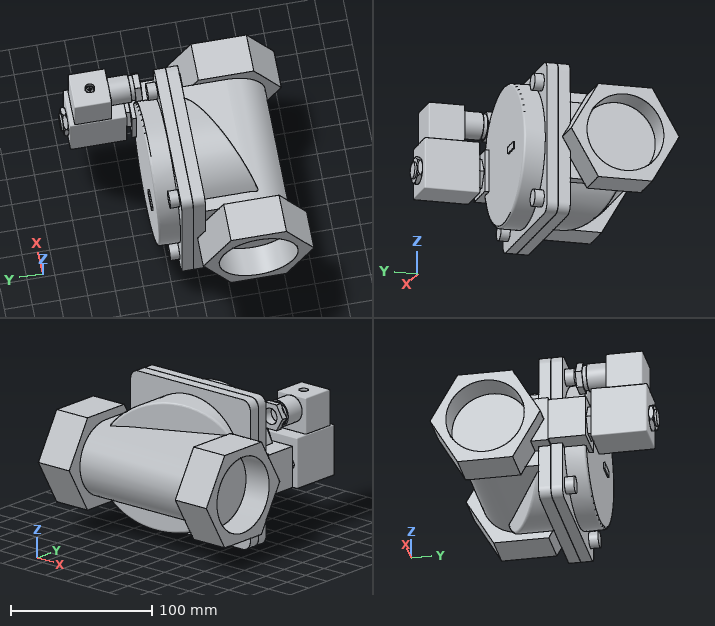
import cadquery as cq
import math

OVERALL_LENGTH = 157.0
OVERALL_TOP = 119.39

PIPE_RADIUS = 28.2
BORE_DIAMETER = 56.7
BORE_DEPTH = 21.7
HEX_LENGTH = 29.0
HEX_ACROSS_CORNERS = 79.8
FLANGE_SIZE = 112.0
FLANGE_CORNER_RADIUS = 7.0
FLANGE_BOTTOM = 34.1
BODY_TOP = 42.8
BOWL_RADIUS = 49.0
BOWL_SLOPE_MIDDLE = 11.3
BOWL_SLOPE_ANGLE = 25.2
BOWL_EDGE_RADIUS = 1.9
PORT_BOTTOM = 25.5
PORT_END_MARGIN = 0.6
PORT_SIDE_MARGIN = 1.3

COVER_BOTTOM = 43.0
COVER_FLANGE_TOP = 51.3
DOME_RADIUS = 51.8
DOME_TOP = 66.9
DOME_EDGE_RADIUS = 1.8
BOLT_DIAMETER = 12.3
BOLT_OFFSET = 43.0
BOLT_TOP = 58.1
BLOCK_LEFT = 37.1
BLOCK_RIGHT = 64.7
BLOCK_HALF_WIDTH = 15.5
BLOCK_TOP = 70.0
MARK_LENGTH = 14.5
MARK_WIDTH = 4.8
MARK_TOP = 67.9
MARK_CENTRE_X = -20.5

COIL_AXIS_X = 51.05
COIL_BOTTOM = 73.8
COIL_TOP = 114.5
COIL_WIDTH = 29.5
COIL_LOW_Z = -17.4
COIL_HIGH_Z = 20.7
HOUSING_EDGE_RADIUS = 1.0
STEM_ACROSS_FLATS = 21.2
COIL_NUT_ACROSS_FLATS = 18.0
COIL_NUT_TOP = 117.9
COIL_NUT_CORNER_CHAMFER = 1.1
STUD_DIAMETER = 12.3
PLUG_BOTTOM = 84.5
PLUG_TOP = 111.2
PLUG_WIDTH = 27.2
PLUG_HIGH_Z = 47.6
SCREW_HOLE_DIAMETER = 6.8
SCREW_HOLE_DEPTH = 3.2
SCREW_HEAD_DIAMETER = 5.5
SCREW_HEAD_HEIGHT = 1.9
SCREW_SLOT_LENGTH = 3.0
SCREW_SLOT_WIDTH = 0.6
SCREW_SLOT_DEPTH = 1.0
GLAND_AXIS_Z = 37.0
GLAND_DIAMETER = 20.0
GLAND_NECK_DIAMETER = 18.0
GLAND_SHOULDER = 69.5
GLAND_NUT_TOP = 66.5
GLAND_NUT_BOTTOM = 61.8
GLAND_NUT_ACROSS_CORNERS = 22.3
CABLE_HOLE_DIAMETER = 12.0

HEX_FLAT_RATIO = math.cos(math.radians(30))


def box(x_range, y_range, z_range):
    """Box between the given limits on each axis."""
    sizes = [high - low for low, high in (x_range, y_range, z_range)]
    corner = (x_range[0], y_range[0], z_range[0])
    return cq.Workplane("XY").box(*sizes, centered=False).translate(corner)


def plane_at(x, y, z):
    """Workplane across Y whose local axes are X and Z."""
    return cq.Workplane("XZ", origin=(x, y, z))


def cylinder_y(diameter, bottom, top, x=0, z=0):
    """Round bar along Y from bottom to top."""
    return plane_at(x, bottom, z).circle(diameter / 2).extrude(bottom - top)


def hexagon_y(across_corners, bottom, top, x=0, z=0, turn=0):
    """Hexagonal bar along Y with corners at +X and -X, turned by the given angle."""
    bar = plane_at(0, bottom, 0).polygon(6, across_corners).extrude(bottom - top)
    return bar.rotate((0, 0, 0), (0, 1, 0), turn).translate((x, 0, z))


def flange_plate(bottom, top):
    """Square plate with rounded corners."""
    plate = plane_at(0, bottom, 0).rect(FLANGE_SIZE, FLANGE_SIZE).extrude(bottom - top)
    return plate.edges("|Y").fillet(FLANGE_CORNER_RADIUS)


def make_bowl():
    """Round chamber under the flange, cut off by a slanted plane with a rounded rim."""
    slope_plane = cq.Plane(origin=(0, BOWL_SLOPE_MIDDLE, 0), xDir=(0, 0, 1), normal=(0, 1, 0))
    depth = BOWL_RADIUS + BODY_TOP
    bowl = cylinder_y(2 * BOWL_RADIUS, -depth, BODY_TOP + depth)
    cutter_size = 6 * BOWL_RADIUS
    below_slope = cq.Workplane(slope_plane).rect(cutter_size, cutter_size).extrude(-cutter_size)
    slope_centre = (0, BOWL_SLOPE_MIDDLE, 0)
    slope_axis_end = (0, BOWL_SLOPE_MIDDLE, 1)
    below_slope = below_slope.rotate(slope_centre, slope_axis_end, BOWL_SLOPE_ANGLE)
    bowl = bowl.cut(below_slope).faces("<Y").edges().fillet(BOWL_EDGE_RADIUS)
    reach = 2 * BOWL_RADIUS
    return bowl.intersect(box((-reach, reach), (-reach, BODY_TOP), (-reach, reach)))


def make_valve_body():
    half_length = OVERALL_LENGTH / 2
    pipe_half = half_length - HEX_LENGTH
    body = cq.Workplane("YZ", origin=(-pipe_half, 0, 0)).circle(PIPE_RADIUS).extrude(2 * pipe_half)
    body = body.union(box((-pipe_half, pipe_half), (0, BODY_TOP), (-PIPE_RADIUS, PIPE_RADIUS)))
    body = body.union(make_bowl())
    body = body.union(flange_plate(FLANGE_BOTTOM, BODY_TOP))
    port_half = BLOCK_HALF_WIDTH + PORT_SIDE_MARGIN
    body = body.union(box((0, BLOCK_RIGHT + PORT_END_MARGIN), (PORT_BOTTOM, BODY_TOP), (-port_half, port_half)))
    for hex_start, bore_start in ((-half_length, -half_length), (pipe_half, half_length - BORE_DEPTH)):
        hex_end = cq.Workplane("YZ", origin=(hex_start, 0, 0)).polygon(6, HEX_ACROSS_CORNERS)
        body = body.union(hex_end.extrude(HEX_LENGTH))
        bore = cq.Workplane("YZ", origin=(bore_start, 0, 0)).circle(BORE_DIAMETER / 2)
        body = body.cut(bore.extrude(BORE_DEPTH))
    return body


def make_cover():
    cover = flange_plate(COVER_BOTTOM, COVER_FLANGE_TOP)
    dome = cylinder_y(2 * DOME_RADIUS, COVER_BOTTOM, DOME_TOP).faces(">Y").edges().fillet(DOME_EDGE_RADIUS)
    cover = cover.union(dome)
    for x in (-BOLT_OFFSET, BOLT_OFFSET):
        for z in (-BOLT_OFFSET, BOLT_OFFSET):
            cover = cover.union(cylinder_y(BOLT_DIAMETER, COVER_BOTTOM, BOLT_TOP, x, z))
    block_width = (-BLOCK_HALF_WIDTH, BLOCK_HALF_WIDTH)
    cover = cover.union(box((BLOCK_LEFT, BLOCK_RIGHT), (BODY_TOP, BLOCK_TOP), block_width))
    mark_x = (MARK_CENTRE_X - MARK_LENGTH / 2, MARK_CENTRE_X + MARK_LENGTH / 2)
    return cover.union(box(mark_x, (COVER_BOTTOM, MARK_TOP), (-MARK_WIDTH / 2, MARK_WIDTH / 2)))


def make_gland(x, z):
    """Cable gland below the plug: sleeve, narrower neck and hexagonal nut with a cable hole."""
    sleeve = cylinder_y(GLAND_DIAMETER, GLAND_SHOULDER, PLUG_BOTTOM, x, z)
    neck = cylinder_y(GLAND_NECK_DIAMETER, GLAND_NUT_TOP, GLAND_SHOULDER, x, z)
    nut = hexagon_y(GLAND_NUT_ACROSS_CORNERS, GLAND_NUT_BOTTOM, GLAND_NUT_TOP, x, z)
    cable_hole = cylinder_y(CABLE_HOLE_DIAMETER, GLAND_NUT_BOTTOM, GLAND_SHOULDER, x, z)
    return sleeve.union(neck).union(nut).cut(cable_hole)


def make_screw_head(x, y, base_z):
    """Domed screw head with a crossed slot, standing on the given height."""
    radius = SCREW_HEAD_DIAMETER / 2
    dome_middle = (radius * math.sin(math.pi / 4), SCREW_HEAD_HEIGHT * math.cos(math.pi / 4))
    profile = cq.Workplane("XZ").lineTo(radius, 0).threePointArc(dome_middle, (0, SCREW_HEAD_HEIGHT)).close()
    head = profile.revolve(360, (0, 0, 0), (0, 1, 0))
    slot_floor = cq.Workplane("XY").workplane(offset=SCREW_HEAD_HEIGHT - SCREW_SLOT_DEPTH)
    for length, width in ((SCREW_SLOT_LENGTH, SCREW_SLOT_WIDTH), (SCREW_SLOT_WIDTH, SCREW_SLOT_LENGTH)):
        head = head.cut(slot_floor.rect(length, width).extrude(SCREW_HEAD_HEIGHT))
    return head.translate((x, y, base_z))


def make_solenoid():
    x = COIL_AXIS_X
    coil_x = (x - COIL_WIDTH / 2, x + COIL_WIDTH / 2)
    solenoid = box(coil_x, (COIL_BOTTOM, COIL_TOP), (COIL_LOW_Z, COIL_HIGH_Z))
    solenoid = solenoid.edges().fillet(HOUSING_EDGE_RADIUS)

    plug_x = (x - PLUG_WIDTH / 2, x + PLUG_WIDTH / 2)
    plug = box(plug_x, (PLUG_BOTTOM, PLUG_TOP), (0, PLUG_HIGH_Z)).edges().fillet(HOUSING_EDGE_RADIUS)
    solenoid = solenoid.union(plug)
    screw_y = (PLUG_BOTTOM + PLUG_TOP) / 2
    screw_plane = cq.Workplane("XY", origin=(x, screw_y, PLUG_HIGH_Z))
    solenoid = solenoid.cut(screw_plane.circle(SCREW_HOLE_DIAMETER / 2).extrude(-SCREW_HOLE_DEPTH))
    solenoid = solenoid.union(make_screw_head(x, screw_y, PLUG_HIGH_Z - SCREW_HOLE_DEPTH))
    solenoid = solenoid.union(make_gland(x, GLAND_AXIS_Z))

    stem_corners = STEM_ACROSS_FLATS / HEX_FLAT_RATIO
    solenoid = solenoid.union(hexagon_y(stem_corners, BLOCK_TOP, COIL_BOTTOM, x))
    nut_corners = COIL_NUT_ACROSS_FLATS / HEX_FLAT_RATIO
    nut_envelope = cylinder_y(nut_corners, COIL_TOP, COIL_NUT_TOP, x)
    nut_envelope = nut_envelope.faces("<Y or >Y").edges().chamfer(COIL_NUT_CORNER_CHAMFER)
    coil_nut = hexagon_y(nut_corners, COIL_TOP, COIL_NUT_TOP, x, turn=30).intersect(nut_envelope)
    solenoid = solenoid.union(coil_nut)
    return solenoid.union(cylinder_y(STUD_DIAMETER, COIL_NUT_TOP, OVERALL_TOP, x))


valve_body = make_valve_body()
cover = make_cover()
solenoid = make_solenoid()

result = cq.Compound.makeCompound([valve_body.val(), cover.val(), solenoid.val()])